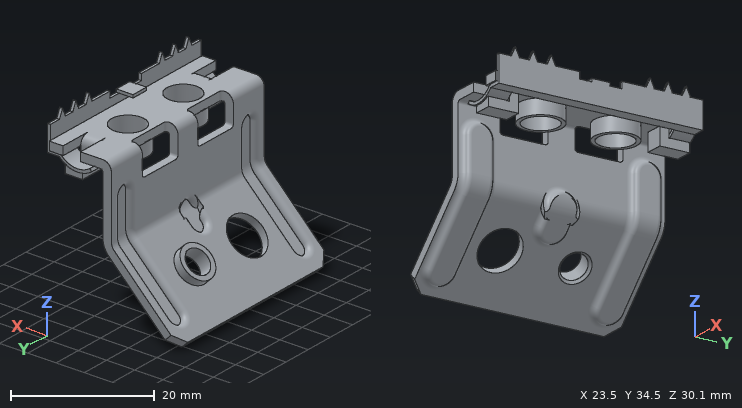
import cadquery as cq
import math


width = 34.5
sheet = 1.52
flange_length = 11.0
fold_drop = 13.05
leg_length = 16.95
leg_angle = 45.0
flange_outer_radius = 1.52
flange_inner_radius = 0.52
fold_radius = 1.9
leg_chamfer = 2.0

pair_y = 6.25

leg_hole_travel = 7.95
leg_hole_radius = 3.5
boss_radius = 3.0
boss_bore_radius = 2.15
boss_height = 1.52
bore_countersink = 0.4

collar_x = 5.73
collar_radius = 3.52
collar_bore_radius = 2.85
collar_bottom = -4.0

window_width = 8.0
window_reach = 2.1
window_drop = 5.1
window_corner = 0.52

notch_start = 5.5
notch_end = 8.55
notch_root_y = 11.75
tab_bottom = -4.52
hook_tip_y = 16.75

bead_depth = 1.0
bead_floor_half_width = 1.25
bulge_half_width = 3.05
bulge_crown_half_width = 1.52
bulge_base_rise = 0.55
side_bead_y = 14.0
side_groove_top = 6.2
side_bulge_top = 6.55
side_bead_travel = 12.85
centre_bead_top = 13.87
centre_bead_fold_angle = 37.0
centre_bead_travel = 3.0

clip_sheet = 0.52
clip_half_width = 17.0
blade_top = 2.5
tooth_tip = 3.97
tooth_half_width = 0.7
tooth_first_y = 8.25
tooth_pitch = 3.0
teeth_per_side = 3
recess_half_width = 3.52
recess_floor = 1.38
stop_half_width = 1.52
stop_start = 8.52
spring_x = 6.2
spring_z = 0.93
spring_outer_radius = 4.38
spring_tip_angle = 35.0
spring_inner_y = 13.52
relief_x = 5.75
relief_half_width = 0.4
relief_end_y = 14.1

leg_tilt = math.radians(leg_angle)
fold_tangent = fold_radius * math.tan(leg_tilt / 2)
cut_margin = 1.05


def fold_plane(angle, travel):
    """Cross-section plane on the concave face of the sheet.

    angle is the place around the leg fold: 0 on the wall, leg_angle on the leg.
    travel is the distance on from there, straight down the face.
    Local x is +Y, local y goes into the sheet and the normal runs down the face.
    """
    tilt = math.radians(angle)
    down = (-math.sin(tilt), 0, -math.cos(tilt))
    x = -fold_radius + fold_radius * math.cos(tilt) + travel * down[0]
    z = fold_tangent - fold_drop - fold_radius * math.sin(tilt) + travel * down[2]
    return cq.Plane(origin=(x, 0, z), xDir=(0, 1, 0), normal=down)


def leg_plane():
    """Plane on the leg face: origin at the fold corner, local x down the slope, local y toward -Y."""
    down = (-math.sin(leg_tilt), 0, -math.cos(leg_tilt))
    outward = (-math.cos(leg_tilt), 0, math.sin(leg_tilt))
    return cq.Plane(origin=(0, 0, -fold_drop), xDir=down, normal=outward)


def folded_sheet():
    down_x = -math.sin(leg_tilt)
    down_z = -math.cos(leg_tilt)
    end_x, end_z = leg_length * down_x, leg_length * down_z - fold_drop
    inner_fold_z = -fold_drop - sheet * math.tan(leg_tilt / 2)
    blank = (
        cq.Workplane("XZ")
        .polyline([
            (flange_length, 0),
            (0, 0),
            (0, -fold_drop),
            (end_x, end_z),
            (end_x - sheet * down_z, end_z + sheet * down_x),
            (sheet, inner_fold_z),
            (sheet, -sheet),
            (flange_length, -sheet),
        ])
        .close()
        .extrude(width / 2, both=True)
    )
    bends = [
        ((0, 0, 0), flange_outer_radius),
        ((sheet, 0, -sheet), flange_inner_radius),
        ((0, 0, -fold_drop), fold_radius),
        ((sheet, 0, inner_fold_z), fold_radius + sheet),
    ]
    for corner, radius in bends:
        blank = blank.edges(cq.NearestToPointSelector(corner)).fillet(radius)
    return blank.faces("<X").edges("not |Y").chamfer(leg_chamfer)


def groove_half_section(plane):
    """Half of the groove: flat floor and a quarter-round rim."""
    rim = bead_floor_half_width + bead_depth
    mid = bead_depth * math.sqrt(0.5)
    return (
        cq.Workplane(plane)
        .moveTo(0, -cut_margin)
        .lineTo(rim, -cut_margin)
        .lineTo(rim, 0)
        .threePointArc((rim - mid, bead_depth - mid), (bead_floor_half_width, bead_depth))
        .lineTo(0, bead_depth)
        .close()
    )


def bulge_half_section(plane):
    """Half of the bulge behind a groove: flat crown and an S-shaped flank of two tangent arcs."""
    root = sheet / 2
    crown = sheet + bead_depth
    run = bulge_half_width - bulge_crown_half_width
    base_run = run * bulge_base_rise / bead_depth
    join = (bulge_half_width - base_run, sheet + bulge_base_rise)
    return (
        cq.Workplane(plane)
        .moveTo(0, crown)
        .lineTo(bulge_crown_half_width, crown)
        .tangentArcPoint(join, relative=False)
        .tangentArcPoint((bulge_half_width, sheet), relative=False)
        .lineTo(bulge_half_width, root)
        .lineTo(0, root)
        .close()
    )


def face_layer(depth):
    """Everything from in front of the wall and leg down to the given depth in the sheet."""
    fold_z = -fold_drop - depth * math.tan(leg_tilt / 2)
    end_x = depth - leg_length * math.sin(leg_tilt)
    end_z = fold_z - leg_length * math.cos(leg_tilt)
    return (
        cq.Workplane("XZ")
        .polyline([(depth, 0), (depth, fold_z), (end_x, end_z), (end_x, 0)])
        .close()
        .extrude(width / 2, both=True)
        .edges(cq.NearestToPointSelector((depth, 0, fold_z)))
        .fillet(fold_radius + depth)
    )


def bead(half_section, top, fold_angle, leg_travel):
    """Bar with the given half section that follows the sheet around the fold and has round ends.

    top is the drop from the flange top to the centre of the upper end, fold_angle the place
    around the fold where the bent stretch starts, and leg_travel the slope distance from the
    fold corner to the centre of the lower end.
    """
    wall_length = fold_drop - fold_tangent - top
    straight_length = leg_travel - fold_tangent
    upper_end = fold_plane(0, -wall_length)
    lower_end = fold_plane(leg_angle, straight_length)
    bend_turn = leg_angle - fold_angle

    half = half_section(fold_plane(fold_angle, 0)).revolve(bend_turn, (0, -fold_radius), (1, -fold_radius))
    half = half.union(half_section(fold_plane(leg_angle, 0)).extrude(straight_length))
    if wall_length > 0:
        half = half.union(half_section(upper_end).extrude(wall_length))
    bar = half.union(half.mirror("XZ"))
    for end in (upper_end, lower_end):
        bar = bar.union(half_section(end).revolve(360, (0, 0), (0, 1)))
    return bar


def add_beads(body):
    centre_path = (centre_bead_top, centre_bead_fold_angle, centre_bead_travel)
    side_bulge = bead(bulge_half_section, side_bulge_top, 0, side_bead_travel)
    side_groove = bead(groove_half_section, side_groove_top, 0, side_bead_travel)
    centre_bulge = bead(bulge_half_section, *centre_path).intersect(face_layer(sheet + bead_depth))
    centre_groove = bead(groove_half_section, *centre_path).intersect(face_layer(bead_depth))

    body = body.union(centre_bulge)
    for y in (-side_bead_y, side_bead_y):
        body = body.union(side_bulge.translate((0, y, 0)))
    body = body.cut(centre_groove)
    for y in (-side_bead_y, side_bead_y):
        body = body.cut(side_groove.translate((0, y, 0)))
    return body


def add_leg_boss_and_hole(body):
    face = cq.Workplane(leg_plane())
    boss_at = face.center(leg_hole_travel, -pair_y)
    hole_at = face.center(leg_hole_travel, pair_y)
    body = body.union(boss_at.circle(boss_radius).extrude(boss_height))
    bore = boss_at.workplane(offset=boss_height).circle(boss_bore_radius).extrude(-boss_height - sheet)
    countersink = (
        boss_at.workplane(offset=-sheet)
        .circle(boss_bore_radius + bore_countersink)
        .workplane(offset=bore_countersink)
        .circle(boss_bore_radius)
        .loft()
    )
    return body.cut(bore).cut(countersink).cut(hole_at.circle(leg_hole_radius).extrude(-sheet))


def add_collars(body):
    collar_points = [(collar_x, -pair_y), (collar_x, pair_y)]
    at_collars = cq.Workplane("XY").pushPoints(collar_points)
    body = body.union(at_collars.circle(collar_radius).extrude(collar_bottom))
    return body.cut(at_collars.circle(collar_bore_radius).extrude(collar_bottom))


def cut_windows(body):
    window = (
        cq.Workplane("XY")
        .box(window_reach, window_width, window_drop, centered=(False, True, False))
        .translate((0, 0, -window_drop))
        .edges("|Z and >X or (|X and <Z)")
        .fillet(window_corner)
    )
    for y in (-pair_y, pair_y):
        body = body.cut(window.translate((0, y, 0)))
    return body


def hooked_tab():
    """Strip at +Y that bends down from the flange and then out under the spring arm.

    The arm rests in a matching recess in the top of the hook.
    """
    wall_y = notch_root_y + sheet
    hook_top = tab_bottom + sheet
    mid = sheet * math.sqrt(0.5)
    strip = (
        cq.Workplane("YZ")
        .workplane(offset=notch_start)
        .moveTo(notch_root_y, 0)
        .threePointArc((notch_root_y + mid, mid - sheet), (wall_y, -sheet))
        .lineTo(wall_y, hook_top)
        .lineTo(hook_tip_y, hook_top)
        .lineTo(hook_tip_y, tab_bottom)
        .lineTo(notch_root_y, tab_bottom)
        .close()
        .extrude(notch_end - notch_start)
    )
    return strip.cut(spring_arm())


def add_notches_and_tabs(body):
    notch = (
        cq.Workplane("XY")
        .box(notch_end - notch_start, width / 2 - notch_root_y, sheet, centered=False)
        .translate((notch_start, notch_root_y, -sheet))
    )
    tab = hooked_tab()
    body = body.cut(notch).cut(notch.mirror("XZ"))
    return body.union(tab).union(tab.mirror("XZ"))


def make_bracket():
    body = folded_sheet()
    body = add_beads(body)
    body = add_leg_boss_and_hole(body)
    body = add_collars(body)
    body = cut_windows(body)
    return add_notches_and_tabs(body)


def foot_start_x():
    """X where the outside of a spring arm meets the underside of the foot."""
    rise = spring_z + sheet + clip_sheet
    return spring_x + math.sqrt(spring_outer_radius ** 2 - rise ** 2)


def toothed_blade():
    foot_bottom = -sheet - clip_sheet
    outline = [(-clip_half_width, foot_bottom), (-clip_half_width, blade_top)]
    teeth = [tooth_first_y + tooth_pitch * i for i in range(teeth_per_side)]
    for y in [-y for y in reversed(teeth)]:
        outline += [(y - tooth_half_width, blade_top), (y, tooth_tip), (y + tooth_half_width, blade_top)]
    outline += [(-recess_half_width, blade_top), (-recess_half_width, recess_floor)]
    outline += [(-y, z) for y, z in reversed(outline)]
    return (
        cq.Workplane("YZ")
        .workplane(offset=flange_length)
        .polyline(outline)
        .close()
        .extrude(clip_sheet)
    )


def foot():
    start = foot_start_x()
    length = flange_length + clip_sheet - start
    return (
        cq.Workplane("XY")
        .box(length, 2 * clip_half_width, clip_sheet, centered=(False, True, False))
        .translate((start, 0, -sheet - clip_sheet))
    )


def stop_tongue():
    length = flange_length + clip_sheet - stop_start
    return (
        cq.Workplane("XY")
        .box(length, 2 * stop_half_width, clip_sheet, centered=(False, True, False))
        .translate((stop_start, 0, recess_floor))
    )


def spring_arm():
    """Curved arm at +Y that hangs below the flange and rests on the hooked tab."""
    inner_radius = spring_outer_radius - clip_sheet
    tip = math.radians(spring_tip_angle)

    def on_arc(radius, angle):
        return (spring_x + radius * math.sin(angle), spring_z - radius * math.cos(angle))

    inner_end = math.acos((spring_z + sheet) / inner_radius)
    arm = (
        cq.Workplane("XZ")
        .moveTo(*on_arc(spring_outer_radius, -tip))
        .threePointArc(on_arc(spring_outer_radius, 0), (foot_start_x(), -sheet - clip_sheet))
        .lineTo(foot_start_x(), -sheet)
        .lineTo(*on_arc(inner_radius, inner_end))
        .threePointArc(on_arc(inner_radius, 0), on_arc(inner_radius, -tip))
        .close()
        .extrude(spring_inner_y - clip_half_width)
        .translate((0, spring_inner_y, 0))
    )
    slot_length = 2 * (relief_end_y - spring_inner_y)
    relief = (
        cq.Workplane("XY")
        .center(relief_x, spring_inner_y)
        .slot2D(slot_length, 2 * relief_half_width, 90)
        .extrude(-spring_outer_radius)
    )
    return arm.cut(relief)


def make_spring_clip():
    arm = spring_arm()
    clip = toothed_blade().union(foot()).union(stop_tongue())
    return clip.union(arm).union(arm.mirror("XZ"))


bracket = make_bracket()
spring_clip = make_spring_clip()
result = cq.Compound.makeCompound([bracket.solids().val(), spring_clip.solids().val()])